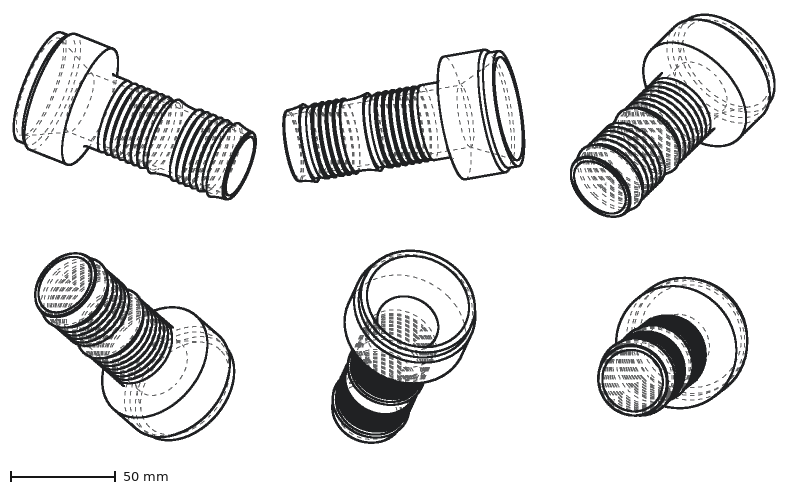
import cadquery as cq
import math

length = 107.0

rim_radius = 56.0 / 2
rim_length = 4.8
collar_radius = 59.6 / 2
collar_start = 6.7
collar_end = 26.9
shoulder_slant = math.radians(15)

neck_radius = 36.5 / 2
root_radius = 34.5 / 2
neck_fillet_radius = 3.0
neck_fillet_end = 32.3

tooth_length = 2.8
tooth_pitch = 3.5
neck_end = 40.1
front_tooth_count = 7
rear_teeth_start = 78.6
rear_tooth_count = 5

barb_radius = 18.8
barb_length = 8.8
front_barb_start = 66.9
rear_barb_start = 98.5
end_chamfer_length = 0.6
end_radius = 16.9

mouth_radius = 25.0
bore_radius = 30.0 / 2
mouth_depth = 21.4

barb_height = barb_radius - root_radius
flank_arc_radius = (barb_length**2 + barb_height**2) / (2 * barb_height)


def flank_point(barb_start, distance):
    """Point on a barb flank at an axial distance behind its crest."""
    to_tangency = barb_length - distance
    rise = flank_arc_radius - math.sqrt(flank_arc_radius**2 - to_tangency**2)
    return (barb_start + distance, root_radius + rise)


def add_barb(outline, start, flank_length):
    """Add a square front face and a concave flank."""
    return (
        outline.lineTo(start, root_radius)
        .lineTo(start, barb_radius)
        .threePointArc(flank_point(start, flank_length / 2), flank_point(start, flank_length))
    )


def add_teeth(outline, start, count):
    """Add saw teeth that each rise square and slope down to the root."""
    for index in range(count):
        crest = start + index * tooth_pitch
        outline = (
            outline.lineTo(crest, root_radius)
            .lineTo(crest, neck_radius)
            .lineTo(crest + tooth_length, root_radius)
        )
    return outline


def fillet_point(angle):
    """Point on the neck fillet, turned by an angle back from its tangency with the neck."""
    return (
        neck_fillet_end - neck_fillet_radius * math.sin(angle),
        neck_radius + neck_fillet_radius * (1 - math.cos(angle)),
    )


fillet_sweep = math.pi / 2 - shoulder_slant

outline = (
    cq.Workplane("XY")
    .moveTo(0, mouth_radius)
    .lineTo(0, rim_radius)
    .lineTo(rim_length, rim_radius)
    .lineTo(collar_start, collar_radius)
    .lineTo(collar_end, collar_radius)
    .lineTo(*fillet_point(fillet_sweep))
    .threePointArc(fillet_point(fillet_sweep / 2), fillet_point(0))
    .lineTo(neck_end, neck_radius)
    .lineTo(neck_end + tooth_length, root_radius)
)

outline = add_teeth(outline, neck_end + tooth_pitch, front_tooth_count - 1)
outline = add_barb(outline, front_barb_start, barb_length)
outline = add_teeth(outline, rear_teeth_start, rear_tooth_count)
outline = add_barb(outline, rear_barb_start, length - end_chamfer_length - rear_barb_start)

outline = (
    outline.lineTo(length, end_radius)
    .lineTo(length, bore_radius)
    .lineTo(mouth_depth, bore_radius)
    .close()
)

result = outline.revolve(360, (0, 0, 0), (1, 0, 0))